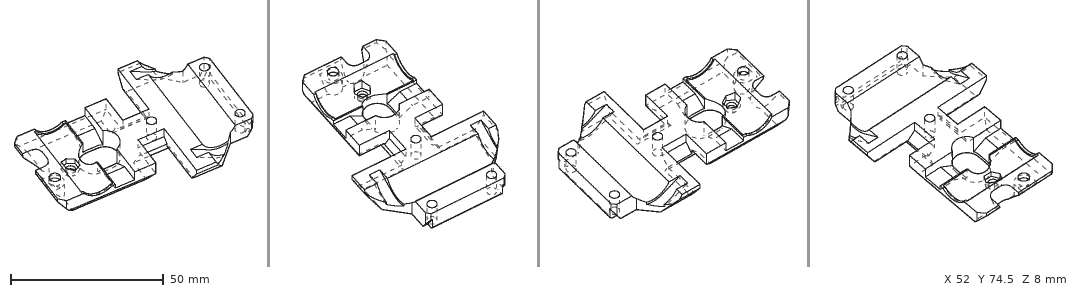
import cadquery as cq
import math

LENGTH = 74.5
HEIGHT = 8.0

BODY_HALF = 16.5
BODY_REAR = 36.05
BODY_CORNER = 2.2
NOSE_LIP_Z = 6.5
NOSE_RUN = 5.45
SKIRT_Z = 2.75
SKIRT_RUN = 1.6

NECK_TOP = (-5.45, 4.6)
NECK_FOOT = (-8.5, 6.5)
NECK_SHOULDER_Z = 4.1

WING_HALF = 26.0
WING_FRONT = 46.0
WING_BEVEL_Z = 6.2
WING_BEVEL_RUN = 3.9
WING_FRONT_BEVEL = 1.1
BLOCK_LEFT = -BODY_HALF
BLOCK_RIGHT = 15.0
WING_REAR = 65.1
BLOCK_CORNER = 1.35
BLOCK_REAR_BEVEL = 0.75
RELIEF_Z = 4.85
RELIEF_RUN = 2.8
RELIEF_WIDTH = 1.85

SEAT_RADIUS = 7.5
SEAT_AXIS_Z = 11.25
REAR_SEAT_Y = 60.2
FRONT_SEAT_Y = 15.05
LIP_RADIUS = 6.9
LIP_WIDTH = 1.0
SEAT_BACK_Z = 5.7

TIE_RADIUS = 8.5
TIE_ANGLE = 30.0
TIE_WIDTH = 4.1
TIE_LEFT_ENDS = (-23.0, 16.9)

POCKET_FRONT = 20.6
POCKET_REAR = 28.0
POCKET_Z = 4.1
POCKET_FLAT_X = 9.8
POCKET_SLOPE = 30.0
OPENING_WIDTH = 10.0
OPENING_LENGTH = 14.15
OPENING_Y = 24.1

SCREW_DIAMETER = 3.35
NUT_Y = 13.1
SCREW_POINTS = [(-12.5, 71.1), (11.0, 71.1), (-0.5, 44.1), (0, NUT_Y)]
NUT_CORNERS = 6.1
NUT_FLOOR_Z = 1.6
BORED_POINT = (5.5, 4.0)
BORED_DIAMETER = 3.7
BORE_DIAMETER = 6.3
BORE_TOP_Z = 5.6

NOTCH_DEPTH = 6.0
NOTCH_CORNER = 2.8
NOTCH_TOP = (-8.9, -0.4)
NOTCH_BASE = (-6.4, 0.9)


def x_prism(points, x_start, x_end):
    """Extrude a (Y, Z) outline along X."""
    outline = cq.Workplane("YZ", origin=(x_start, 0, 0)).polyline(points).close()
    return outline.extrude(x_end - x_start)


def y_prism(points, y_start, y_end):
    """Extrude an (X, Z) outline along Y."""
    outline = cq.Workplane("XZ", origin=(0, y_start, 0)).polyline(points).close()
    return outline.extrude(y_start - y_end)


def x_cylinder(y, radius, x_start, x_end):
    """Cylinder along X on a bearing axis."""
    circle = cq.Workplane("YZ", origin=(x_start, y, SEAT_AXIS_Z)).circle(radius)
    return circle.extrude(x_end - x_start)


def hole(point, diameter, top=HEIGHT):
    """Upright cylinder from the underside to the given height."""
    return cq.Workplane("XY").center(*point).circle(diameter / 2).extrude(top)


def front_body():
    side = [
        (0, HEIGHT),
        (0, NOSE_LIP_Z),
        (NOSE_RUN, 0),
        (BODY_REAR - SKIRT_Z, 0),
        (BODY_REAR, SKIRT_Z),
        (BODY_REAR, HEIGHT),
    ]
    section = [
        (-BODY_HALF, HEIGHT),
        (-BODY_HALF, SKIRT_Z),
        (SKIRT_RUN - BODY_HALF, 0),
        (BODY_HALF - SKIRT_RUN, 0),
        (BODY_HALF, SKIRT_Z),
        (BODY_HALF, HEIGHT),
    ]
    plan = (
        cq.Workplane("XY")
        .rect(2 * BODY_HALF, 2 * BODY_REAR)
        .extrude(HEIGHT)
        .translate((0, BODY_REAR, 0))
        .edges("|Z and <Y")
        .chamfer(BODY_CORNER)
    )
    body = x_prism(side, -BODY_HALF, BODY_HALF)
    return body.intersect(y_prism(section, 0, BODY_REAR)).intersect(plan)


def neck_root(height):
    """Section that fills an underside bevel where the neck's foot meets it."""
    left, right = NECK_FOOT
    return [(left, 0), (right, 0), (right, height), (left, height)]


def neck():
    section = [
        (NECK_TOP[0], HEIGHT),
        (NECK_TOP[0], NECK_SHOULDER_Z),
        (NECK_FOOT[0], NECK_SHOULDER_Z - (NECK_TOP[0] - NECK_FOOT[0])),
        (NECK_FOOT[0], 0),
        (NECK_FOOT[1], 0),
        (NECK_FOOT[1], NECK_SHOULDER_Z - (NECK_FOOT[1] - NECK_TOP[1])),
        (NECK_TOP[1], NECK_SHOULDER_Z),
        (NECK_TOP[1], HEIGHT),
    ]
    bar = y_prism(section, BODY_REAR, WING_FRONT)
    body_root = y_prism(neck_root(SKIRT_Z), BODY_REAR - SKIRT_Z, BODY_REAR)
    wing_root = y_prism(neck_root(WING_FRONT_BEVEL), WING_FRONT, WING_FRONT + WING_FRONT_BEVEL)
    return bar.union(body_root).union(wing_root)


def wings_and_block():
    left_end_y = WING_REAR - (WING_HALF + BLOCK_LEFT)
    right_end_y = WING_REAR - (WING_HALF - BLOCK_RIGHT)
    plan = [
        (-WING_HALF, WING_FRONT),
        (WING_HALF, WING_FRONT),
        (WING_HALF, right_end_y),
        (BLOCK_RIGHT, WING_REAR),
        (BLOCK_RIGHT, LENGTH - BLOCK_CORNER),
        (BLOCK_RIGHT - BLOCK_CORNER, LENGTH),
        (BLOCK_LEFT + BLOCK_CORNER, LENGTH),
        (BLOCK_LEFT, LENGTH - BLOCK_CORNER),
        (BLOCK_LEFT, WING_REAR),
        (-WING_HALF, left_end_y),
    ]
    section = [
        (-WING_HALF, HEIGHT),
        (-WING_HALF, WING_BEVEL_Z),
        (WING_BEVEL_RUN - WING_HALF, 0),
        (WING_HALF - WING_BEVEL_RUN, 0),
        (WING_HALF, WING_BEVEL_Z),
        (WING_HALF, HEIGHT),
    ]
    side = [
        (WING_FRONT, HEIGHT),
        (WING_FRONT, WING_FRONT_BEVEL),
        (WING_FRONT + WING_FRONT_BEVEL, 0),
        (LENGTH - BLOCK_REAR_BEVEL, 0),
        (LENGTH, BLOCK_REAR_BEVEL),
        (LENGTH, HEIGHT),
    ]
    slab = cq.Workplane("XY").polyline(plan).close().extrude(HEIGHT)
    slab = slab.intersect(y_prism(section, WING_FRONT, LENGTH))
    slab = slab.intersect(x_prism(side, -WING_HALF, WING_HALF))
    relief = [(LENGTH - RELIEF_RUN, 0), (LENGTH, 0), (LENGTH, RELIEF_Z)]
    for x in (BLOCK_LEFT, BLOCK_RIGHT - RELIEF_WIDTH):
        slab = slab.cut(x_prism(relief, x, x + RELIEF_WIDTH))
    return slab


def front_seat():
    inner = BODY_HALF - LIP_WIDTH
    main = x_cylinder(FRONT_SEAT_Y, SEAT_RADIUS, -inner, inner)
    lips = x_cylinder(FRONT_SEAT_Y, LIP_RADIUS, -BODY_HALF, BODY_HALF)
    top_step = cq.Workplane("XY").box(
        2 * BODY_HALF, POCKET_FRONT - FRONT_SEAT_Y, HEIGHT, centered=(True, False, False)
    )
    return main.union(lips).union(top_step.translate((0, FRONT_SEAT_Y, SEAT_BACK_Z)))


def tie_slot(x_start):
    """Curved slot under the rear seat with a straight ramp to the top face."""
    x_end = x_start + TIE_WIDTH
    lean = math.radians(TIE_ANGLE)
    tangent_y = REAR_SEAT_Y - TIE_RADIUS * math.sin(lean)
    tangent_z = SEAT_AXIS_Z - TIE_RADIUS * math.cos(lean)
    exit_y = tangent_y - (HEIGHT - tangent_z) / math.tan(lean)
    ramp = [
        (tangent_y, tangent_z),
        (exit_y, HEIGHT),
        (REAR_SEAT_Y, HEIGHT),
    ]
    curve = x_cylinder(REAR_SEAT_Y, TIE_RADIUS, x_start, x_end)
    return curve.union(x_prism(ramp, x_start, x_end))


def cross_pocket():
    middle_z = POCKET_Z - POCKET_FLAT_X * math.tan(math.radians(POCKET_SLOPE))
    section = [
        (-BODY_HALF, HEIGHT),
        (-BODY_HALF, POCKET_Z),
        (-POCKET_FLAT_X, POCKET_Z),
        (0, middle_z),
        (POCKET_FLAT_X, POCKET_Z),
        (BODY_HALF, POCKET_Z),
        (BODY_HALF, HEIGHT),
    ]
    return y_prism(section, POCKET_FRONT, POCKET_REAR)


def oblong_opening():
    slot = cq.Workplane("XY").center(0, OPENING_Y).slot2D(OPENING_LENGTH, OPENING_WIDTH, 90)
    return slot.extrude(HEIGHT)


def nut_pocket():
    hexagon = cq.Workplane("XY", origin=(0, NUT_Y, NUT_FLOOR_Z)).polygon(6, NUT_CORNERS)
    return hexagon.extrude(HEIGHT)


def open_bore():
    """Wide lower bore of the front hole, open through the front edge."""
    x, y = BORED_POINT
    opening = cq.Workplane("XY").center(x, y / 2).rect(BORE_DIAMETER, y).extrude(BORE_TOP_Z)
    return hole(BORED_POINT, BORE_DIAMETER, BORE_TOP_Z).union(opening)


def front_notch():
    """Round-cornered notch, open to the front, that leans to the right going down."""
    bend = NOTCH_CORNER * math.sqrt(0.5)
    corner_y = NOTCH_DEPTH - NOTCH_CORNER
    notch = cq.Workplane("XY")
    for rise, (left, right) in ((0, NOTCH_BASE), (HEIGHT, NOTCH_TOP)):
        left_x = left + NOTCH_CORNER
        right_x = right - NOTCH_CORNER
        notch = (
            notch.workplane(offset=rise)
            .moveTo(left, -NOTCH_DEPTH)
            .lineTo(left, corner_y)
            .threePointArc((left_x - bend, corner_y + bend), (left_x, NOTCH_DEPTH))
            .lineTo(right_x, NOTCH_DEPTH)
            .threePointArc((right_x + bend, corner_y + bend), (right, corner_y))
            .lineTo(right, -NOTCH_DEPTH)
            .close()
        )
    return notch.loft(ruled=True)


result = front_body().union(neck()).union(wings_and_block())

result = result.cut(x_cylinder(REAR_SEAT_Y, SEAT_RADIUS, -WING_HALF, WING_HALF))
for tie_x in TIE_LEFT_ENDS:
    result = result.cut(tie_slot(tie_x))

result = result.cut(front_seat())
result = result.cut(cross_pocket())
result = result.cut(oblong_opening())
result = result.cut(nut_pocket())
result = result.cut(front_notch())

for screw_point in SCREW_POINTS:
    result = result.cut(hole(screw_point, SCREW_DIAMETER))
result = result.cut(hole(BORED_POINT, BORED_DIAMETER))
result = result.cut(open_bore())